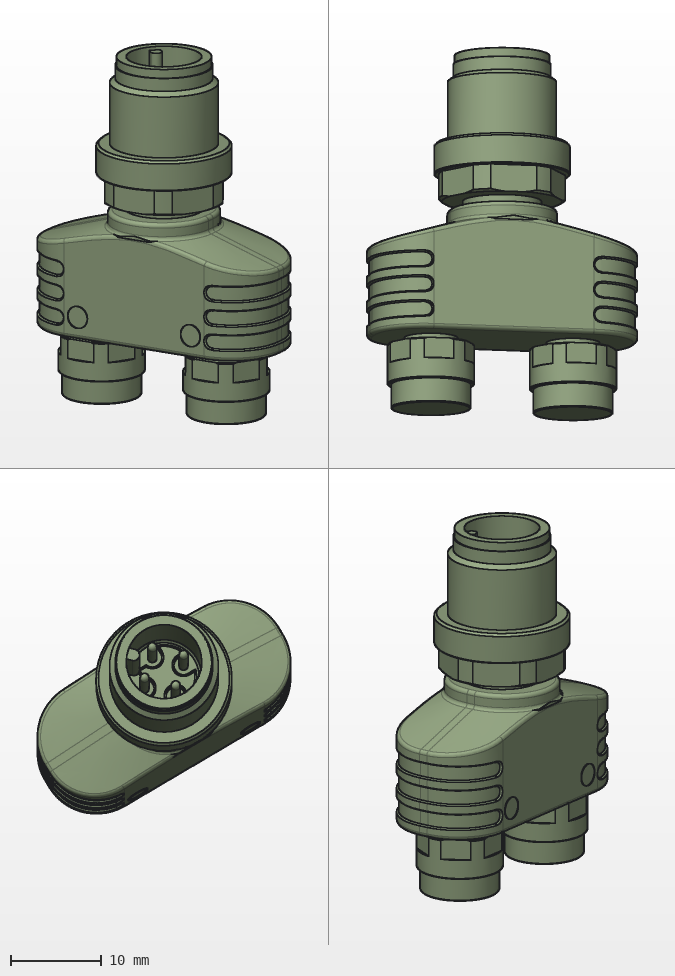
import cadquery as cq
import math


SLEEVE_TOP = 2.65
NUT_FLAT_BOTTOM = 4.9
NUT_TOP = 7.15
HOUSING_BOTTOM = 7.92
SHOULDER_TOP = 22.45
HEX_BOTTOM = 23.5
COLLAR_BOTTOM = 26.45
COLLAR_TOP = 29.9
SHELL_TAPER_BOTTOM = 36.85
SHELL_TAPER_TOP = 37.35
RIM_BOTTOM = 38.8
TOP = 39.8

HOUSING_LENGTH = 30.0
STRIP_WIDTH = 1.0
END_RADIUS = 6.0
HOUSING_DEPTH = 2 * END_RADIUS + STRIP_WIDTH
HOUSING_EDGE_RADIUS = 0.48
SHOULDER_RADIUS = 5.97
SHOULDER_EDGE_RADIUS = 0.48
SHOULDER_OVERLAP = 0.15
ROOF_END_HEIGHT = 17.85
ROOF_SLOPE = 0.31
ROOF_BLEND_RADIUS = 0.48

GROOVE_COUNT = 3
GROOVE_PITCH = 2.8
GROOVE_WIDTH = 1.87
GROOVE_DEPTH = 0.25
GROOVE_WALL_HEIGHT = 0.15
LOWEST_GROOVE = 10.05

MARK_DIAMETER = 2.5
MARK_DEPTH = 0.08
MARK_SPACING = 14.5
MARK_HEIGHT = 10.43

NUT_SPACING = 16.0
NUT_DIAMETER = 9.6
NUT_ACROSS_FLATS = 9.0
NUT_CHAMFER = 0.1
SLEEVE_DIAMETER = 8.8
NUT_NECK_DIAMETER = 5.9

PLUG_NECK_DIAMETER = 8.7
HEX_ACROSS_FLATS = 13.0
HEX_CORNER_DIAMETER = 14.0
HEX_CHAMFER_HEIGHT = 0.25
HEX_CHAMFER_WIDTH = 0.4
COLLAR_DIAMETER = 15.0
COLLAR_CHAMFER = 0.28
COLLAR_LOWER_CHAMFER = 0.1
SHELL_DIAMETER = 12.0
THROAT_DIAMETER = 10.8
RIM_DIAMETER = 10.5

BORE_DIAMETER = 8.3
BORE_FLOOR_CHAMFER = 0.28
BORE_FLOOR = 30.65
INSERT_DIAMETER = 7.2
INSERT_STEP_HEIGHT = 0.28
INSERT_STEP_WIDTH = 0.2
POCKET_WIDTH = 2.1
INSERT_NOTCH = 2.15
PIN_COUNT = 4
PIN_DIAMETER = 1.0
PIN_CIRCLE_RADIUS = 2.5
PIN_TOP = 37.6
KEY_WIDTH = 1.27
KEY_CENTER_RADIUS = 3.42
KEY_TOP = 39.4
KEY_ANGLE = 135


def cylinder(diameter, bottom, top):
    return cq.Workplane("XY").workplane(offset=bottom).circle(diameter / 2).extrude(top - bottom)


def hex_prism(across_flats, bottom, top):
    """Hexagonal prism with corners on the X axis."""
    corner_diameter = across_flats / math.cos(math.pi / 6)
    return cq.Workplane("XY").workplane(offset=bottom).polygon(6, corner_diameter).extrude(top - bottom)


def split_revolve(profile):
    """Revolve an (r, z) profile about Z, then pull the halves apart by the middle strip."""
    outline = profile.val()
    strip = cq.Workplane("XZ").add(outline).toPending().extrude(STRIP_WIDTH / 2, both=True)
    strip = strip.union(strip.mirror("YZ"))
    turned = cq.Workplane("XZ").add(outline).toPending().revolve(360, (0, 0, 0), (0, 1, 0))
    size = 4 * HOUSING_LENGTH
    half_space = cq.Workplane("XY").box(size, size, size, centered=(True, False, True))
    back = turned.intersect(half_space).translate((0, STRIP_WIDTH / 2, 0))
    front = back.mirror("XZ")
    return strip.union(back).union(front)


def housing_prism(inset, bottom, top):
    """Upright slab with the round-ended housing outline, set back by the inset."""
    return (
        cq.Workplane("XY").workplane(offset=bottom)
        .rect(HOUSING_LENGTH - 2 * inset, HOUSING_DEPTH - 2 * inset)
        .extrude(top - bottom)
        .edges("|Z").fillet(END_RADIUS - inset)
    )


def roof_height(radius):
    """Height of the roof cone at a distance from its axis."""
    return ROOF_END_HEIGHT + ROOF_SLOPE * (HOUSING_LENGTH / 2 - radius)


def is_roof_rim(edge):
    """True for the edges where the roof meets the upright walls."""
    center = edge.Center()
    over_end = abs(center.x) > HOUSING_LENGTH / 2 - END_RADIUS + STRIP_WIDTH + HOUSING_EDGE_RADIUS
    over_side = abs(center.y) > END_RADIUS
    return center.z > ROOF_END_HEIGHT - HOUSING_EDGE_RADIUS and (over_end or over_side)


def make_housing():
    """Round-ended housing under a shallow conical roof, with rounded rims."""
    cap_radius = SHOULDER_RADIUS - 2 * HOUSING_EDGE_RADIUS
    outer_radius = HOUSING_LENGTH / 2 + HOUSING_EDGE_RADIUS
    roof = split_revolve(
        cq.Workplane("XZ")
        .moveTo(0, HOUSING_BOTTOM)
        .lineTo(outer_radius, HOUSING_BOTTOM)
        .lineTo(outer_radius, roof_height(outer_radius))
        .lineTo(cap_radius, roof_height(cap_radius))
        .lineTo(0, roof_height(cap_radius))
        .close()
    )
    body = housing_prism(0, HOUSING_BOTTOM, SHOULDER_TOP).intersect(roof)
    body = body.faces("<Z").edges().fillet(HOUSING_EDGE_RADIUS)
    return body.edges().filter(is_roof_rim).fillet(HOUSING_EDGE_RADIUS)


def make_groove(height):
    """Grip groove wrapping both ends, with sloped walls above and below its floor."""
    bottom = height - GROOVE_WIDTH / 2
    top = height + GROOVE_WIDTH / 2
    tip_spacing = HOUSING_LENGTH - 2 * END_RADIUS
    around = (
        cq.Workplane("XY").workplane(offset=bottom)
        .rect(2 * HOUSING_LENGTH, 2 * HOUSING_DEPTH)
        .extrude(GROOVE_WIDTH)
    )
    land = (
        cq.Workplane("XZ").center(0, height)
        .rect(tip_spacing + GROOVE_WIDTH, GROOVE_WIDTH)
        .extrude(HOUSING_DEPTH / 2, both=True)
    )
    tip_angle = math.degrees(math.atan(GROOVE_WALL_HEIGHT / GROOVE_DEPTH))
    tips = (
        cq.Workplane("XZ", origin=(0, HOUSING_DEPTH / 2, height))
        .pushPoints([(side * (tip_spacing + GROOVE_WIDTH) / 2, 0) for side in (-1, 1)])
        .circle(GROOVE_WIDTH / 2)
        .extrude(2 * GROOVE_DEPTH, taper=tip_angle)
    )
    tips = tips.union(tips.mirror("XZ"))
    wall_angle = math.degrees(math.atan(GROOVE_DEPTH / GROOVE_WALL_HEIGHT))
    outline = housing_prism(0, bottom, top).faces("<Z").wires().val()
    wall = cq.Workplane("XY").add(outline).toPending().extrude(GROOVE_WALL_HEIGHT, taper=wall_angle)
    floor = housing_prism(GROOVE_DEPTH, bottom, top)
    core = floor.union(wall).union(wall.mirror("XY", (0, 0, height)))
    return around.cut(land.cut(tips)).cut(core)


def make_shoulder():
    """Rounded shoulder above the roof with a concave blend down to the roof cone."""
    slope_angle = math.atan(ROOF_SLOPE)
    center_r = SHOULDER_RADIUS + ROOF_BLEND_RADIUS
    center_z = roof_height(center_r) + ROOF_BLEND_RADIUS / math.cos(slope_angle)
    foot_r = center_r - ROOF_BLEND_RADIUS * math.sin(slope_angle)
    foot_z = center_z - ROOF_BLEND_RADIUS * math.cos(slope_angle)
    mid_angle = (math.radians(180) + math.radians(270) - slope_angle) / 2
    blend_middle = (
        center_r + ROOF_BLEND_RADIUS * math.cos(mid_angle),
        center_z + ROOF_BLEND_RADIUS * math.sin(mid_angle),
    )
    root_z = roof_height(foot_r) - SHOULDER_OVERLAP
    flat_radius = SHOULDER_RADIUS - SHOULDER_EDGE_RADIUS
    edge_z = SHOULDER_TOP - SHOULDER_EDGE_RADIUS
    return split_revolve(
        cq.Workplane("XZ")
        .moveTo(0, root_z)
        .lineTo(foot_r, root_z)
        .lineTo(foot_r, foot_z)
        .threePointArc(blend_middle, (SHOULDER_RADIUS, center_z))
        .lineTo(SHOULDER_RADIUS, edge_z)
        .radiusArc((flat_radius, SHOULDER_TOP), -SHOULDER_EDGE_RADIUS)
        .lineTo(0, SHOULDER_TOP)
        .close()
    )


def make_marks():
    """Shallow round recesses in the front face."""
    return (
        cq.Workplane("XZ", origin=(0, MARK_DEPTH - HOUSING_DEPTH / 2, MARK_HEIGHT))
        .pushPoints([(-MARK_SPACING / 2, 0), (MARK_SPACING / 2, 0)])
        .circle(MARK_DIAMETER / 2)
        .extrude(2 * MARK_DEPTH)
    )


def make_nut():
    """Coupling nut with six spanner flats, its lower sleeve and its neck."""
    collar = cylinder(NUT_DIAMETER, SLEEVE_TOP, NUT_TOP).edges().chamfer(NUT_CHAMFER)
    around_flats = cylinder(2 * NUT_DIAMETER, NUT_FLAT_BOTTOM, NUT_TOP)
    flats = around_flats.cut(hex_prism(NUT_ACROSS_FLATS, NUT_FLAT_BOTTOM, NUT_TOP))
    sleeve = cylinder(SLEEVE_DIAMETER, 0, SLEEVE_TOP).faces("<Z").edges().chamfer(NUT_CHAMFER)
    neck = cylinder(NUT_NECK_DIAMETER, NUT_TOP, HOUSING_BOTTOM)
    return collar.cut(flats).union(sleeve).union(neck)


def make_plug_outside():
    """Neck, hexagon, round collar and stepped shell of the plug."""
    hexagon = (
        cylinder(HEX_CORNER_DIAMETER, HEX_BOTTOM, COLLAR_BOTTOM)
        .faces("<Z").edges().chamfer(HEX_CHAMFER_HEIGHT, HEX_CHAMFER_WIDTH)
        .intersect(hex_prism(HEX_ACROSS_FLATS, HEX_BOTTOM, COLLAR_BOTTOM))
    )
    collar = (
        cylinder(COLLAR_DIAMETER, COLLAR_BOTTOM, COLLAR_TOP)
        .faces(">Z").edges().chamfer(COLLAR_CHAMFER)
        .faces("<Z").edges().chamfer(COLLAR_LOWER_CHAMFER)
    )
    shell = (
        cq.Workplane("XZ")
        .moveTo(0, COLLAR_TOP)
        .lineTo(SHELL_DIAMETER / 2, COLLAR_TOP)
        .lineTo(SHELL_DIAMETER / 2, SHELL_TAPER_BOTTOM)
        .lineTo(THROAT_DIAMETER / 2, SHELL_TAPER_TOP)
        .lineTo(THROAT_DIAMETER / 2, RIM_BOTTOM)
        .lineTo(RIM_DIAMETER / 2, RIM_BOTTOM)
        .lineTo(RIM_DIAMETER / 2, TOP)
        .lineTo(0, TOP)
        .close()
        .revolve(360, (0, 0, 0), (0, 1, 0))
    )
    neck = cylinder(PLUG_NECK_DIAMETER, SHOULDER_TOP, HEX_BOTTOM)
    return neck.union(hexagon).union(collar).union(shell)


def make_bore():
    """Plug socket with a sloped corner around its floor."""
    return cylinder(BORE_DIAMETER, BORE_FLOOR, TOP).faces("<Z").edges().chamfer(BORE_FLOOR_CHAMFER)


def make_insert_layer(bottom, height, inset):
    """One layer of the contact carrier, its walls set back by the inset."""
    floor = cq.Workplane("XY").workplane(offset=bottom)
    layer = floor.circle(INSERT_DIAMETER / 2 - inset).extrude(height)
    pocket_width = POCKET_WIDTH + 2 * inset
    pocket = (
        floor.center(PIN_CIRCLE_RADIUS, 0).circle(pocket_width / 2).extrude(height)
        .union(
            floor.center(PIN_CIRCLE_RADIUS + pocket_width / 2, 0)
            .rect(pocket_width, pocket_width)
            .extrude(height)
        )
    )
    for index in range(PIN_COUNT):
        layer = layer.cut(pocket.rotate((0, 0, 0), (0, 0, 1), index * 360 / PIN_COUNT))
    kept_width = 2 * (INSERT_NOTCH - inset)
    key_corner = floor.rect(-INSERT_DIAMETER, INSERT_DIAMETER, centered=False).extrude(height)
    kept_corner = floor.rect(kept_width, kept_width).extrude(height)
    return layer.cut(key_corner.cut(kept_corner))


def make_insert():
    """Stepped contact carrier on the bore floor, pocketed around each pin and notched for the key."""
    lower = make_insert_layer(BORE_FLOOR, INSERT_STEP_HEIGHT, 0)
    upper = make_insert_layer(BORE_FLOOR + INSERT_STEP_HEIGHT, INSERT_STEP_HEIGHT, INSERT_STEP_WIDTH)
    return lower.union(upper)


def make_pins():
    """Contact pins with ball ends."""
    ball_height = PIN_TOP - PIN_DIAMETER / 2
    pins = (
        cq.Workplane("XY").workplane(offset=BORE_FLOOR)
        .polarArray(PIN_CIRCLE_RADIUS, 0, 360, PIN_COUNT)
        .circle(PIN_DIAMETER / 2)
        .extrude(ball_height - BORE_FLOOR)
    )
    balls = (
        cq.Workplane("XY").workplane(offset=ball_height)
        .polarArray(PIN_CIRCLE_RADIUS, 0, 360, PIN_COUNT)
        .sphere(PIN_DIAMETER / 2)
    )
    return pins.union(balls)


def make_key():
    """Coding key: a round-nosed bar running down the bore wall."""
    height = KEY_TOP - BORE_FLOOR
    floor = cq.Workplane("XY").workplane(offset=BORE_FLOOR)
    nose = floor.center(KEY_CENTER_RADIUS, 0).circle(KEY_WIDTH / 2).extrude(height)
    root_radius = (BORE_DIAMETER + RIM_DIAMETER) / 4
    root_length = root_radius - KEY_CENTER_RADIUS
    root = floor.center(KEY_CENTER_RADIUS + root_length / 2, 0).rect(root_length, KEY_WIDTH).extrude(height)
    return nose.union(root).rotate((0, 0, 0), (0, 0, 1), KEY_ANGLE)


shoulder = make_shoulder().intersect(housing_prism(0, HOUSING_BOTTOM, SHOULDER_TOP))
housing = make_housing().union(shoulder).cut(make_marks())
for groove in range(GROOVE_COUNT):
    housing = housing.cut(make_groove(LOWEST_GROOVE + groove * GROOVE_PITCH))

plug = make_plug_outside().cut(make_bore()).union(make_insert()).union(make_pins()).union(make_key())

result = housing.union(plug)
for side in (-1, 1):
    result = result.union(make_nut().translate((side * NUT_SPACING / 2, 0, 0)))